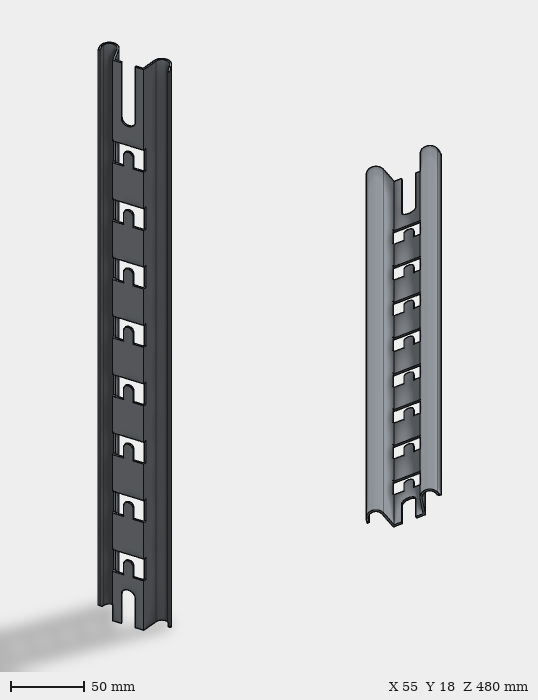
import cadquery as cq
import math

length = 480.0
width = 55.0
depth = 18.0
thickness = 1.5
slope_angle = math.radians(14)
arch_radius = 6.5
lip_height = 8.5
lip_corner = 2.5

window_count = 8
first_window_base = 42.0
last_window_base = 392.0
window_pitch = (last_window_base - first_window_base) / (window_count - 1)
window_height = 18.5
window_depth = 2.5
tongue_width = 7.0
tongue_length = 13.0

slot_width = 10.5
bottom_slot_length = 30.0
top_slot_length = 53.0

arch_y = depth - arch_radius
tangent_x = arch_radius * math.cos(slope_angle)
tangent_y = arch_y + arch_radius * math.sin(slope_angle)
lip_spread = tangent_x + (tangent_y - lip_height) * math.tan(slope_angle)
arch_x = width / 2 - lip_spread


def arch_ends(inset):
    """Radius, X offset and height of the arc ends for a skin `inset` inside the arch."""
    radius = arch_radius - inset
    offset = radius * math.cos(slope_angle)
    height = arch_y + radius * math.sin(slope_angle)
    return radius, offset, height


def wall_x(inset, y):
    """X of the wall skin at height y on the +X side."""
    _, offset, height = arch_ends(inset)
    return arch_x - offset - (height - y) * math.tan(slope_angle)


def lip_x(inset, y):
    """X of the lip skin at height y on the +X side."""
    return 2 * arch_x - wall_x(inset, y)


def half_section():
    """Section on the +X side of the middle plane, extruded over the full length."""
    outer_r, outer_dx, outer_y = arch_ends(0)
    inner_r, inner_dx, inner_y = arch_ends(thickness)
    return (
        cq.Workplane("XY")
        .lineTo(wall_x(thickness, 0), 0)
        .lineTo(arch_x - inner_dx, inner_y)
        .threePointArc((arch_x, arch_y + inner_r), (arch_x + inner_dx, inner_y))
        .lineTo(lip_x(thickness, lip_height), lip_height)
        .lineTo(lip_x(0, lip_height), lip_height)
        .lineTo(arch_x + outer_dx, outer_y)
        .threePointArc((arch_x, arch_y + outer_r), (arch_x - outer_dx, outer_y))
        .lineTo(wall_x(0, thickness), thickness)
        .lineTo(0, thickness)
        .close()
        .extrude(length)
    )


def rail():
    """Full rail, symmetric about the YZ plane."""
    half = half_section()
    return half.union(half.mirror("YZ"))


def lip_bevel(z_end, direction):
    """Pair of wedges that bevel both lip corners at one end of the rail."""
    wedge = (
        cq.Workplane("YZ", origin=(arch_x, 0, 0))
        .moveTo(lip_height, z_end)
        .lineTo(lip_height + lip_corner, z_end)
        .lineTo(lip_height, z_end + direction * lip_corner)
        .close()
        .extrude(width / 2 - arch_x)
    )
    return wedge.union(wedge.mirror("YZ"))


def window(base_z):
    """Rectangular opening with the tongue left standing on its lower edge."""
    opening = cq.Workplane("XY").box(
        2 * arch_x, window_depth, window_height, centered=(True, False, False)
    )
    tongue_radius = tongue_width / 2
    shoulder = tongue_length - tongue_radius
    tongue = (
        cq.Workplane("XZ")
        .moveTo(-tongue_radius, 0)
        .lineTo(-tongue_radius, shoulder)
        .threePointArc((0, tongue_length), (tongue_radius, shoulder))
        .lineTo(tongue_radius, 0)
        .close()
        .extrude(-window_depth)
    )
    return opening.cut(tongue).translate((0, 0, base_z))


def end_slot(z_end, direction, slot_length):
    """Round-ended slot running inward from one end of the rail."""
    radius = slot_width / 2
    shoulder = z_end + direction * (slot_length - radius)
    return (
        cq.Workplane("XZ")
        .moveTo(-radius, z_end)
        .lineTo(-radius, shoulder)
        .threePointArc((0, z_end + direction * slot_length), (radius, shoulder))
        .lineTo(radius, z_end)
        .close()
        .extrude(-thickness)
    )


result = rail()
for index in range(window_count):
    result = result.cut(window(first_window_base + index * window_pitch))
result = result.cut(end_slot(0, 1, bottom_slot_length))
result = result.cut(end_slot(length, -1, top_slot_length))
result = result.cut(lip_bevel(0, 1)).cut(lip_bevel(length, -1))